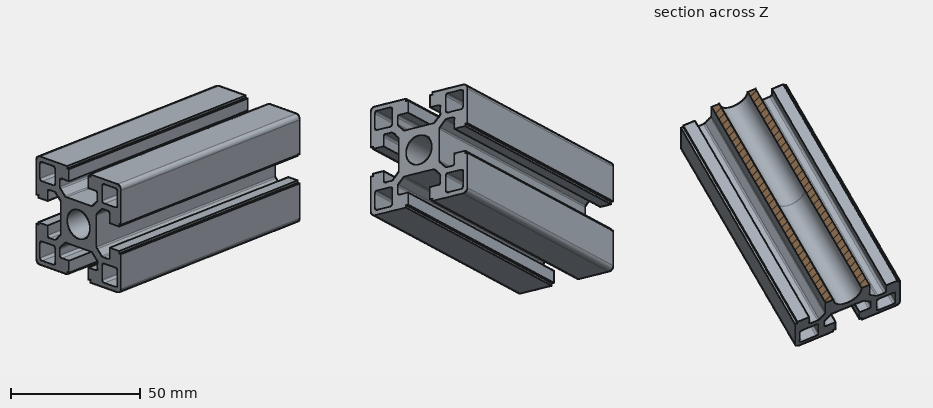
import cadquery as cq

side = 45.0
length = 100.0
outer_radius = 2.0
half_side = side / 2

bore_diameter = 12.0

mouth_width = 10.2
step_size = 1.0
lip_thickness = 6.0
cavity_width = 20.0
cavity_corner_radius = 1.0
slot_depth = 13.0
floor_chamfer = 3.0

hollow_size = 8.0
hollow_wall = 2.0
hollow_radius = 1.0
hollow_offset = half_side - hollow_wall - hollow_size / 2


def section():
    """Sketch plane of the profile, at the middle of the length."""
    return cq.Workplane("XZ")


def extrude_through(profile):
    """Extrude a closed profile over the full length, equally to both sides."""
    return profile.extrude(length / 2, both=True)


def slot_cutter():
    """T-slot void in the +Z face: stepped mouth above a rounded cavity."""
    lip_bottom = half_side - lip_thickness
    floor = half_side - slot_depth
    half_cavity = cavity_width / 2
    half_floor = half_cavity - floor_chamfer
    chamfer_top = floor + floor_chamfer

    cavity_outline = [
        (half_cavity, lip_bottom),
        (half_cavity, chamfer_top),
        (half_floor, floor),
        (-half_floor, floor),
        (-half_cavity, chamfer_top),
        (-half_cavity, lip_bottom),
    ]
    cavity = extrude_through(section().polyline(cavity_outline).close())
    cavity = cavity.edges("|Y").fillet(cavity_corner_radius)

    mouth = cq.Workplane("XY").box(mouth_width, length, slot_depth)
    mouth = mouth.translate((0, 0, half_side - slot_depth / 2))
    step = cq.Workplane("XY").box(mouth_width + 2 * step_size, length, step_size)
    step = step.translate((0, 0, half_side - step_size / 2))
    return cavity.union(mouth).union(step)


def corner_hollows():
    """Four rounded square voids, one in each corner."""
    pitch = 2 * hollow_offset
    hollows = extrude_through(section().rarray(pitch, pitch, 2, 2).rect(hollow_size, hollow_size))
    return hollows.edges("|Y").fillet(hollow_radius)


body = extrude_through(section().rect(side, side)).edges("|Y").fillet(outer_radius)
slot = slot_cutter()
for angle in (0, 90, 180, 270):
    body = body.cut(slot.rotate((0, 0, 0), (0, 1, 0), angle))
body = body.cut(corner_hollows())
result = body.cut(extrude_through(section().circle(bore_diameter / 2)))